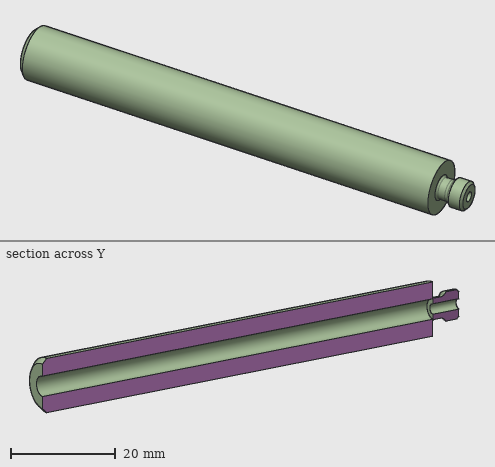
import cadquery as cq
import math

overall_length = 95.0
tip_length = 6.0
handle_length = overall_length - tip_length

handle_diameter = 11.0
handle_bore_diameter = 4.0
handle_chamfer = 1.0

head_diameter = 6.0
head_length = 2.9
head_end_chamfer = 0.5
neck_diameter = 4.4
seat_fillet = 0.4
cone_fillet = 1.0
cone_angle = 45.0
tip_bore_diameter = 2.0


def make_handle():
    """Round tube with a chamfered rim at its open end."""
    rod = cq.Workplane("YZ").circle(handle_diameter / 2).extrude(handle_length)
    rod = rod.faces("<X").chamfer(handle_chamfer)
    return rod.faces("<X").workplane().hole(handle_bore_diameter)


def make_tip():
    """Turned tip seated on the handle's end face: filleted neck, cone and chamfered head."""
    head_radius = head_diameter / 2
    neck_radius = neck_diameter / 2
    bore_radius = tip_bore_diameter / 2
    seat_x = handle_length
    end_x = overall_length
    head_start_x = end_x - head_length
    tilt = math.radians(cone_angle)

    corner_x = head_start_x - (head_radius - neck_radius) / math.tan(tilt)
    tangent_length = cone_fillet * math.tan(tilt / 2)
    round_start_x = corner_x - tangent_length
    round_centre_radius = neck_radius + cone_fillet

    def point_on_round(angle):
        return (
            round_start_x + cone_fillet * math.sin(angle),
            round_centre_radius - cone_fillet * math.cos(angle),
        )

    seat_round_middle = seat_fillet * (1 - math.sqrt(0.5))

    profile = (
        cq.Workplane("XY")
        .moveTo(seat_x, bore_radius)
        .lineTo(seat_x, neck_radius + seat_fillet)
        .threePointArc(
            (seat_x + seat_round_middle, neck_radius + seat_round_middle),
            (seat_x + seat_fillet, neck_radius),
        )
        .lineTo(round_start_x, neck_radius)
        .threePointArc(point_on_round(tilt / 2), point_on_round(tilt))
        .lineTo(head_start_x, head_radius)
        .lineTo(end_x - head_end_chamfer, head_radius)
        .lineTo(end_x, head_radius - head_end_chamfer)
        .lineTo(end_x, bore_radius)
        .close()
    )
    return profile.revolve(360, (0, 0, 0), (1, 0, 0))


handle = make_handle()
tip = make_tip()

result = cq.Compound.makeCompound([handle.val(), tip.val()])